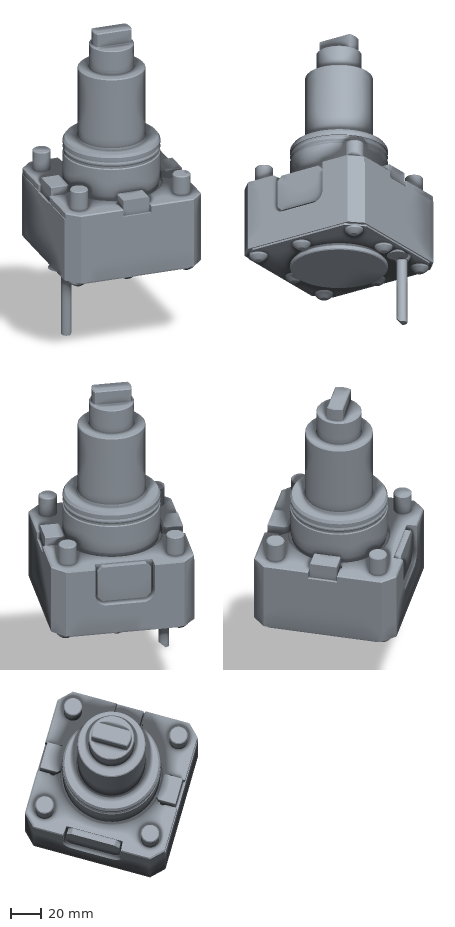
import cadquery as cq

OVERALL_HEIGHT = 208.3

HOUSING_SIDE = 97.0
HOUSING_HALF = HOUSING_SIDE / 2
HOUSING_HEIGHT = 48.7
HOUSING_CORNER = 8.3
HOUSING_EDGE_WIDTH = 1.0
HOUSING_EDGE_HEIGHT = 0.6
FRONT_RELIEF_DEPTH = 0.52
FRONT_RELIEF_BOTTOM = 44.4

PLATE_INSET = 0.94
PLATE_THICKNESS = 1.2
PLATE_CORNER = 10.5
LOWER_NECK_DIA = 60.0
LOWER_NECK_BOTTOM = -3.5
COLLAR_DIA = 65.0
COLLAR_BOTTOM = -6.9
COLLAR_CHAMFER = 0.6

BARREL_RADIUS = 32.5
BARREL_FOOT_RADIUS = 64.4 / 2
BARREL_FOOT_TOP = 51.2
BARREL_GROOVE_RADIUS = 31.5
BARREL_GROOVE_TOP = 50.2
BARREL_TOP = 71.0
RING_BOTTOM = 72.3
RING_TOP = 75.6
RING_BEVEL = 1.2
CAP_BOTTOM = 76.5
CAP_TOP = 80.8
CAP_EDGE_WIDTH = 1.2
CAP_EDGE_HEIGHT = 1.9
GROOVE_DEPTH = 0.6
STEM_RADIUS = 45.0 / 2
STEM_TOP = 131.6
STEM_FLARE = 1.0
STEM_TOP_EDGE = 0.6
NECK_RADIUS = 15.0
NECK_TOP = 148.7
NECK_FLARE_WIDTH = 0.2
NECK_FLARE_HEIGHT = 2.0
NECK_TOP_EDGE = 0.52

MOAT_DIA = 66.7
MOAT_DEPTH = 2.0
MOAT_CHAMFER = 0.8

TAB_TOP = 159.0
TAB_WIDTH = 10.8
TAB_END_DIA = 26.7
TAB_TOP_CHAMFER = 0.6
TAB_BASE_FILLET = 0.8
SELECTION_MARGIN = 0.2

PIN_DIA = 12.0
PIN_TOP = 62.7
PIN_CHAMFER = 0.6
PIN_X = 35.0
PIN_Y = 36.5

BLOCK_WIDTH = 18.3
BLOCK_INNER = 33.0
BLOCK_OUTER = 46.7
BLOCK_TOP = 54.4
BLOCK_INNER_CHAMFER = 2.0
BLOCK_EDGE = 0.52
BLOCK_INNER_BEVEL = 1.2
NOTCH_WIDTH = 19.8
NOTCH_BOTTOM = 43.5
NOTCH_LOBE_DIA = 4.0
NOTCH_LOBE_OFFSET = 9.0
NOTCH_LOBE_REACH = 38.0

RECESS_WIDTH = 40.0
RECESS_BOTTOM = 20.6
RECESS_CORNER = 7.7
RECESS_DEPTH = 6.9
RECESS_DRAFT = 5
DOOR_SETBACK = 2.7
DOOR_WIDTH = 36.2
DOOR_BOTTOM = 22.7
DOOR_TOP = 48.0
DOOR_CHAMFER = 3.3

SCREW_DIA = 12.0
SCREW_RIM_BOTTOM = -2.5
SCREW_BOTTOM = -5.5
SCREW_TIP_RADIUS = 2.5
SCREW_BULGE = 0.2
SCREW_REACH = 38.5
SIDE_SCREW_OFFSET = 3.7

CABLE_DIA = 7.0
CABLE_X = 17.5
CABLE_Y = -38.7
CABLE_BOTTOM = TAB_TOP - OVERALL_HEIGHT
CABLE_CUT_OFFSET = 0.6
CABLE_CUT_TURN = 20
GLAND_RADIUS = 6.0
GLAND_TIP_RADIUS = 4.4
GLAND_BOTTOM = -4.4
FOOT_X = 9.0
FOOT_Y = -41.0
FOOT_TOP_RADIUS = 4.0
FOOT_RADIUS = 7.0
FOOT_BOTTOM = GLAND_BOTTOM
FOOT_RIM = 0.1

QUARTER_TURNS = [0, 90, 180, 270]


def block_from_to(x_range, y_range, z_range):
    """Axis-aligned box given by its limits along X, Y and Z."""
    lengths = [high - low for low, high in (x_range, y_range, z_range)]
    return cq.Workplane("XY").box(*lengths, centered=False).translate((x_range[0], y_range[0], z_range[0]))


def disc(diameter, bottom, top):
    return cq.Workplane("XY").workplane(offset=bottom).circle(diameter / 2).extrude(top - bottom)


def turned(points):
    """Revolve a closed outline of (radius, height) points about Z."""
    return cq.Workplane("XZ").polyline(points).close().revolve(360, (0, 0), (0, 1))


def turn(shape, angle):
    return shape.rotate((0, 0, 0), (0, 0, 1), angle)


def octagonal_slab(side, corner, bottom, top):
    slab = cq.Workplane("XY").box(side, side, top - bottom, centered=(True, True, False))
    return slab.edges("|Z").chamfer(corner).translate((0, 0, bottom))


def make_housing():
    housing = octagonal_slab(HOUSING_SIDE, HOUSING_CORNER, 0, HOUSING_HEIGHT)
    top_edges = housing.faces(">Z").edges()
    housing = top_edges.chamfer(HOUSING_EDGE_WIDTH, HOUSING_EDGE_HEIGHT)
    front_relief = block_from_to(
        (-HOUSING_HALF, HOUSING_HALF),
        (-HOUSING_HALF, -HOUSING_HALF + FRONT_RELIEF_DEPTH),
        (FRONT_RELIEF_BOTTOM, HOUSING_HEIGHT),
    )
    moat = disc(MOAT_DIA, HOUSING_HEIGHT - MOAT_DEPTH, HOUSING_HEIGHT)
    moat_mouth = turned([
        (0, HOUSING_HEIGHT - MOAT_CHAMFER),
        (MOAT_DIA / 2, HOUSING_HEIGHT - MOAT_CHAMFER),
        (MOAT_DIA / 2 + MOAT_CHAMFER, HOUSING_HEIGHT),
        (0, HOUSING_HEIGHT),
    ])
    return housing.cut(front_relief).cut(moat).cut(moat_mouth)


def make_base():
    plate_side = HOUSING_SIDE - 2 * PLATE_INSET
    plate = octagonal_slab(plate_side, PLATE_CORNER, -PLATE_THICKNESS, 0)
    neck = disc(LOWER_NECK_DIA, LOWER_NECK_BOTTOM, 0)
    collar = disc(COLLAR_DIA, COLLAR_BOTTOM, LOWER_NECK_BOTTOM).edges().chamfer(COLLAR_CHAMFER)
    return plate.union(neck).union(collar)


def make_column():
    """Barrel, ring, cap, stem and neck as one turned body."""
    groove_radius = BARREL_RADIUS - GROOVE_DEPTH
    return turned([
        (0, HOUSING_HEIGHT - MOAT_DEPTH),
        (BARREL_GROOVE_RADIUS, HOUSING_HEIGHT - MOAT_DEPTH),
        (BARREL_GROOVE_RADIUS, BARREL_GROOVE_TOP),
        (BARREL_FOOT_RADIUS, BARREL_GROOVE_TOP),
        (BARREL_FOOT_RADIUS, BARREL_FOOT_TOP),
        (BARREL_RADIUS, BARREL_FOOT_TOP),
        (BARREL_RADIUS, BARREL_TOP - GROOVE_DEPTH),
        (groove_radius, BARREL_TOP),
        (groove_radius, RING_BOTTOM),
        (BARREL_RADIUS, RING_BOTTOM + RING_BEVEL),
        (BARREL_RADIUS, RING_TOP - RING_BEVEL),
        (groove_radius, RING_TOP),
        (groove_radius, CAP_BOTTOM),
        (BARREL_RADIUS, CAP_BOTTOM),
        (BARREL_RADIUS, CAP_TOP - CAP_EDGE_HEIGHT),
        (BARREL_RADIUS - CAP_EDGE_WIDTH, CAP_TOP),
        (STEM_RADIUS + STEM_FLARE, CAP_TOP),
        (STEM_RADIUS, CAP_TOP + STEM_FLARE),
        (STEM_RADIUS, STEM_TOP - STEM_TOP_EDGE),
        (STEM_RADIUS - STEM_TOP_EDGE, STEM_TOP),
        (NECK_RADIUS + NECK_FLARE_WIDTH, STEM_TOP),
        (NECK_RADIUS, STEM_TOP + NECK_FLARE_HEIGHT),
        (NECK_RADIUS, NECK_TOP - NECK_TOP_EDGE),
        (NECK_RADIUS - NECK_TOP_EDGE, NECK_TOP),
        (0, NECK_TOP),
    ])


def add_tab(column):
    """Flat drive tab with round ends, blended into the top of the neck."""
    half_width = TAB_WIDTH / 2
    half_length = TAB_END_DIA / 2
    tab = block_from_to((-half_width, half_width), (-half_length, half_length), (NECK_TOP, TAB_TOP))
    tab = tab.intersect(disc(TAB_END_DIA, NECK_TOP, TAB_TOP))
    tab = tab.faces(">Z").edges().chamfer(TAB_TOP_CHAMFER)
    low = NECK_TOP - SELECTION_MARGIN
    high = NECK_TOP + SELECTION_MARGIN
    near_tab = cq.selectors.BoxSelector((-half_length, -TAB_END_DIA, low), (half_length, TAB_END_DIA, high))
    on_axis = cq.selectors.BoxSelector(
        (-SELECTION_MARGIN, -SELECTION_MARGIN, low),
        (SELECTION_MARGIN, SELECTION_MARGIN, high),
    )
    return column.union(tab).edges(near_tab - on_axis).fillet(TAB_BASE_FILLET)


def make_pins():
    pin = disc(PIN_DIA, HOUSING_HEIGHT - MOAT_DEPTH, PIN_TOP).faces(">Z").chamfer(PIN_CHAMFER)
    pins = cq.Workplane("XY")
    for x in (-PIN_X, PIN_X):
        for y in (-PIN_Y, PIN_Y):
            pins = pins.union(pin.translate((x, y, 0)))
    return pins


def make_clamp_notch():
    """Notch for the clamp block on the +X side, with a round lobe in each flank."""
    notch = block_from_to(
        (NOTCH_LOBE_REACH, HOUSING_HALF),
        (-NOTCH_WIDTH / 2, NOTCH_WIDTH / 2),
        (NOTCH_BOTTOM, HOUSING_HEIGHT),
    )
    for y in (-NOTCH_LOBE_OFFSET, NOTCH_LOBE_OFFSET):
        lobe = disc(NOTCH_LOBE_DIA, NOTCH_BOTTOM, HOUSING_HEIGHT)
        notch = notch.union(lobe.translate((NOTCH_LOBE_REACH, y, 0)))
    return notch


def make_clamp_block():
    """Clamp block on the +X side."""
    block = block_from_to(
        (BLOCK_INNER, BLOCK_OUTER),
        (-BLOCK_WIDTH / 2, BLOCK_WIDTH / 2),
        (NOTCH_BOTTOM, BLOCK_TOP),
    )
    block = block.faces(">Z").edges("<X").chamfer(BLOCK_INNER_BEVEL)
    block = block.edges("|Z and <X").chamfer(BLOCK_INNER_CHAMFER)
    return block.faces(">Z").edges("|X").fillet(BLOCK_EDGE)


def make_door_recess():
    """Open-topped recess in the -X side, leaving a lower door panel standing in it."""
    outline = (
        cq.Sketch()
        .rect(RECESS_WIDTH, 2 * (HOUSING_HEIGHT - RECESS_BOTTOM))
        .vertices("<Y")
        .fillet(RECESS_CORNER)
    )
    recess = (
        cq.Workplane("YZ", origin=(-HOUSING_HALF, 0, HOUSING_HEIGHT))
        .placeSketch(outline)
        .extrude(RECESS_DEPTH, taper=RECESS_DRAFT)
    )
    door = block_from_to(
        (-HOUSING_HALF + DOOR_SETBACK, -HOUSING_HALF + RECESS_DEPTH),
        (-DOOR_WIDTH / 2, DOOR_WIDTH / 2),
        (DOOR_BOTTOM, DOOR_TOP),
    )
    door = door.edges("|X").chamfer(DOOR_CHAMFER)
    return recess.cut(door)


def make_screws():
    """Four corner screws and four side screws, repeated every quarter turn."""
    rim_radius = SCREW_DIA / 2
    bulge = (
        (rim_radius + SCREW_TIP_RADIUS) / 2 + SCREW_BULGE,
        (SCREW_RIM_BOTTOM + SCREW_BOTTOM) / 2 - SCREW_BULGE,
    )
    screw = (
        cq.Workplane("XZ")
        .lineTo(rim_radius, 0)
        .lineTo(rim_radius, SCREW_RIM_BOTTOM)
        .threePointArc(bulge, (SCREW_TIP_RADIUS, SCREW_BOTTOM))
        .lineTo(0, SCREW_BOTTOM)
        .close()
        .revolve(360, (0, 0), (0, 1))
    )
    corner_screw = screw.translate((-SCREW_REACH, -SCREW_REACH, 0))
    side_screw = screw.translate((-SIDE_SCREW_OFFSET, -SCREW_REACH, 0))
    screws = cq.Workplane("XY")
    for angle in QUARTER_TURNS:
        screws = screws.union(turn(corner_screw, angle)).union(turn(side_screw, angle))
    return screws


def make_cable():
    """Cable with a tapered gland at the top and a slanted cut across its end."""
    radius = CABLE_DIA / 2
    cable = disc(CABLE_DIA, CABLE_BOTTOM, 0)
    cut_size = radius - CABLE_CUT_OFFSET
    cut = (
        cq.Workplane("YZ")
        .polyline([
            (CABLE_CUT_OFFSET, CABLE_BOTTOM),
            (CABLE_CUT_OFFSET + cut_size, CABLE_BOTTOM),
            (CABLE_CUT_OFFSET + cut_size, CABLE_BOTTOM + cut_size),
        ])
        .close()
        .extrude(CABLE_DIA, both=True)
    )
    gland = turned([
        (0, 0),
        (GLAND_RADIUS, 0),
        (GLAND_RADIUS, -PLATE_THICKNESS),
        (GLAND_TIP_RADIUS, GLAND_BOTTOM),
        (0, GLAND_BOTTOM),
    ])
    cable = cable.cut(turn(cut, CABLE_CUT_TURN)).union(gland)
    return cable.translate((CABLE_X, CABLE_Y, 0))


def make_flared_foot():
    foot = turned([
        (0, 0),
        (FOOT_TOP_RADIUS, 0),
        (FOOT_TOP_RADIUS, -PLATE_THICKNESS),
        (FOOT_RADIUS, FOOT_BOTTOM + FOOT_RIM),
        (FOOT_RADIUS, FOOT_BOTTOM),
        (0, FOOT_BOTTOM),
    ])
    return foot.translate((FOOT_X, FOOT_Y, 0))


housing = make_housing().cut(make_door_recess())
clamp_angles = [0, 90, 270]
for angle in clamp_angles:
    housing = housing.cut(turn(make_clamp_notch(), angle))

result = housing.union(make_base()).union(add_tab(make_column())).union(make_pins())
for angle in clamp_angles:
    result = result.union(turn(make_clamp_block(), angle))
result = result.union(make_screws()).union(make_cable()).union(make_flared_foot())